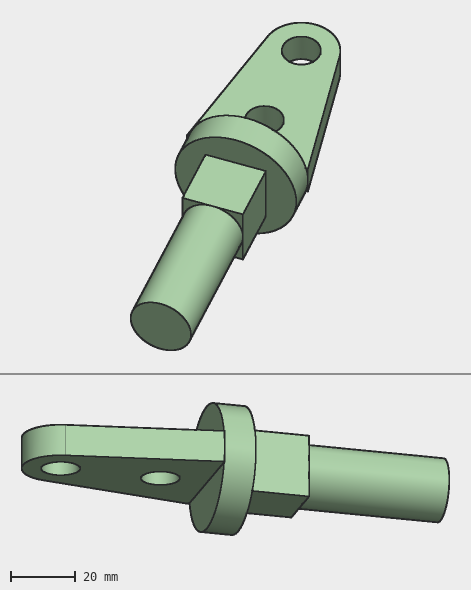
import cadquery as cq
import math

total_length = 134.0
shaft_length = 45.0
square_length = 20.0
flange_thickness = 10.0
plate_length = total_length - shaft_length - square_length - flange_thickness

shaft_diameter = 20.0
square_side = shaft_diameter
flange_diameter = 40.0
plate_thickness = 10.0
plate_base_half_width = flange_diameter / 2

tip_radius = 12.0
hole_diameter = 12.0
hole_spacing = 32.0

flange_start = -flange_thickness
square_start = flange_start - square_length
shaft_start = square_start - shaft_length
tip_center = plate_length - tip_radius


def section_plane(y):
    """Plane across the part axis at station y, extruding toward +Y."""
    return cq.Workplane(cq.Plane(origin=(0, y, 0), xDir=(1, 0, 0), normal=(0, 1, 0)))


def make_stem():
    """Round shaft, square shoulder and round flange in a row."""
    shaft = section_plane(shaft_start).circle(shaft_diameter / 2).extrude(shaft_length)
    square = section_plane(square_start).rect(square_side, square_side).extrude(square_length)
    flange = section_plane(flange_start).circle(flange_diameter / 2).extrude(flange_thickness)
    return shaft.union(square).union(flange)


def make_plate():
    """Tapered plate whose straight sides run tangent into the round tip."""
    corner_to_center = math.hypot(plate_base_half_width, tip_center)
    corner_direction = math.atan2(-tip_center, plate_base_half_width)
    tangent_angle = corner_direction + math.acos(tip_radius / corner_to_center)
    tangent_x = tip_radius * math.cos(tangent_angle)
    tangent_y = tip_center + tip_radius * math.sin(tangent_angle)

    plate = (
        cq.Workplane("XY", origin=(0, 0, -plate_thickness / 2))
        .moveTo(-plate_base_half_width, 0)
        .lineTo(plate_base_half_width, 0)
        .lineTo(tangent_x, tangent_y)
        .threePointArc((0, plate_length), (-tangent_x, tangent_y))
        .close()
        .extrude(plate_thickness)
    )
    holes = (
        cq.Workplane("XY", origin=(0, 0, -plate_thickness / 2))
        .pushPoints([(0, tip_center), (0, tip_center - hole_spacing)])
        .circle(hole_diameter / 2)
        .extrude(plate_thickness)
    )
    return plate.cut(holes)


result = make_stem().union(make_plate())